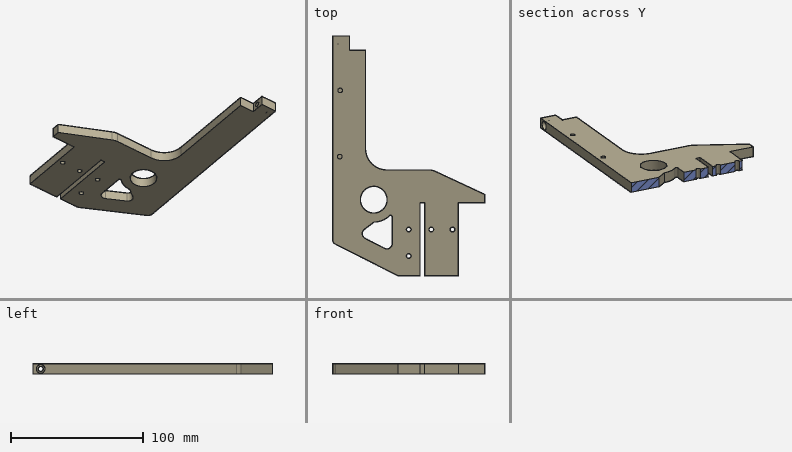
import cadquery as cq
import math

length_x = 115.0
length_y = 180.98
thickness = 8.0

arm_width = 25.0
step_width = 13.0
step_depth = 10.75
arm_root_radius = 16.0

shelf_y = 80.0
nose_top_y = 61.45
nose_angle = math.radians(25)
shelf_corner_radius = 10.0

leg_top_y = 55.0
leg_right_x = 95.0
slot_left_x = 66.0
slot_right_x = 69.5
slope_end_x = 49.5
slope_start_y = 25.0
slope_corner_radius = 4.0

opening_x = 31.1
opening_y = 57.5
opening_diameter = 20.0

window_right_x = 45.0
window_web = 7.0
window_tip = (19.0, 31.25)
window_base = (window_right_x, 17.9)
window_shoulder_x = 31.3
window_corner_radius = 4.0
window_peak_radius = 1.2

pin_hole_diameter = 3.4
pin_hole_centres = [(57.5, 15.0), (57.5, 35.0), (74.5, 35.0), (90.5, 35.0)]

blind_hole_diameter = 3.5
blind_hole_depth = 6.0
blind_hole_centres = [(5.5, 90.0), (5.8, 139.9)]

cross_hole_from_end = 6.0
cross_hole_diameter = 3.6
cross_bore_diameter = 6.5
cross_bore_depth = 4.0


def fillet_upright_edge(body, x, y, radius):
    """Round the vertical edge of the body that passes through (x, y)."""
    edge = cq.selectors.NearestToPointSelector((x, y, thickness / 2))
    return body.edges("|Z").edges(edge).fillet(radius)


def make_plate():
    shelf_corner_x = length_x - (shelf_y - nose_top_y) / math.tan(nose_angle)
    plate = (
        cq.Workplane("XY")
        .moveTo(0, slope_start_y)
        .lineTo(slope_end_x, 0)
        .lineTo(slot_left_x, 0)
        .lineTo(slot_left_x, leg_top_y)
        .lineTo(slot_right_x, leg_top_y)
        .lineTo(slot_right_x, 0)
        .lineTo(leg_right_x, 0)
        .lineTo(leg_right_x, leg_top_y)
        .lineTo(length_x, leg_top_y)
        .lineTo(length_x, nose_top_y)
        .lineTo(shelf_corner_x, shelf_y)
        .lineTo(arm_width, shelf_y)
        .lineTo(arm_width, length_y - step_depth)
        .lineTo(step_width, length_y - step_depth)
        .lineTo(step_width, length_y)
        .lineTo(0, length_y)
        .close()
        .extrude(thickness)
    )
    plate = fillet_upright_edge(plate, 0, slope_start_y, slope_corner_radius)
    plate = fillet_upright_edge(plate, shelf_corner_x, shelf_y, shelf_corner_radius)
    return fillet_upright_edge(plate, arm_width, shelf_y, arm_root_radius)


def make_window():
    arc_radius = opening_diameter / 2 + window_web

    def on_arc(x):
        return (x, opening_y - math.sqrt(arc_radius**2 - (x - opening_x) ** 2))

    peak = on_arc(window_right_x)
    shoulder = on_arc(window_shoulder_x)
    arc_middle = on_arc((window_right_x + window_shoulder_x) / 2)
    window = (
        cq.Workplane("XY")
        .moveTo(*window_tip)
        .lineTo(*window_base)
        .lineTo(*peak)
        .threePointArc(arc_middle, shoulder)
        .close()
        .extrude(thickness)
    )
    window = fillet_upright_edge(window, *window_tip, window_corner_radius)
    window = fillet_upright_edge(window, *window_base, window_corner_radius)
    return fillet_upright_edge(window, *peak, window_peak_radius)


def make_upright_holes(centres, diameter, depth):
    """Cylinders reaching down from the top face."""
    return (
        cq.Workplane("XY", origin=(0, 0, thickness))
        .pushPoints(centres)
        .circle(diameter / 2)
        .extrude(-depth)
    )


def make_cross_hole():
    """Stepped cylinder entering the left edge of the arm."""
    entry = cq.Workplane("YZ", origin=(0, length_y - cross_hole_from_end, thickness / 2))
    drill = entry.circle(cross_hole_diameter / 2).extrude(step_width)
    bore = entry.circle(cross_bore_diameter / 2).extrude(cross_bore_depth)
    return drill.union(bore)


result = (
    make_plate()
    .cut(make_upright_holes([(opening_x, opening_y)], opening_diameter, thickness))
    .cut(make_window())
    .cut(make_upright_holes(pin_hole_centres, pin_hole_diameter, thickness))
    .cut(make_upright_holes(blind_hole_centres, blind_hole_diameter, blind_hole_depth))
    .cut(make_cross_hole())
)